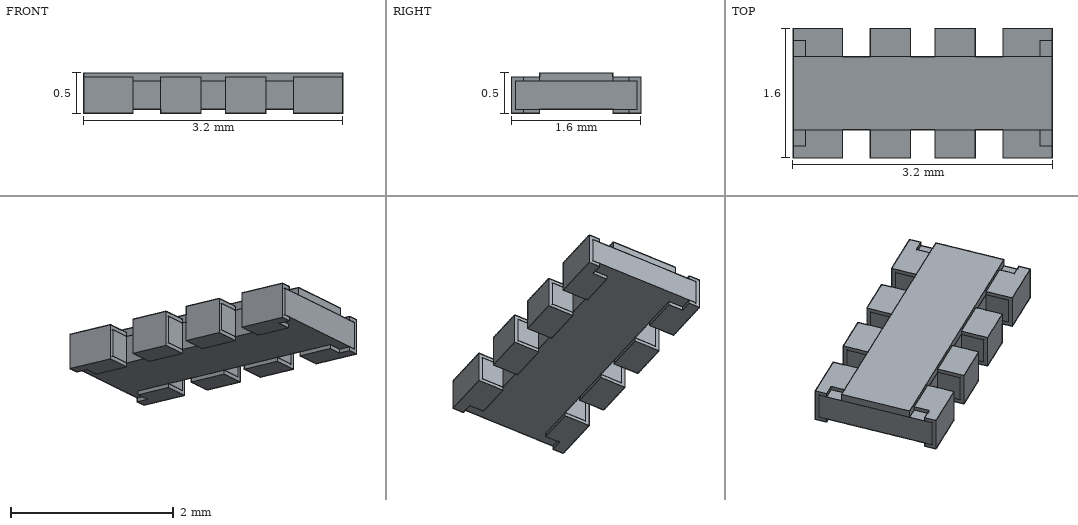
import cadquery as cq

LENGTH = 3.2
WIDTH = 1.6
HEIGHT = 0.5

METAL = 0.05
LEG = 0.35
INNER_LENGTH = 0.5
OUTER_LENGTH = 0.61
INNER_PITCH = 0.8
CORNER_CUT_LENGTH = 0.155
CORNER_LIP = 0.15

SUBSTRATE_HEIGHT = 0.35
TOOTH_REACH = WIDTH / 2 - METAL
SPINE_WIDTH = WIDTH - 2 * LEG
SUBSTRATE_TOP = METAL + SUBSTRATE_HEIGHT
TERMINAL_HEIGHT = SUBSTRATE_TOP + METAL
COVER_HEIGHT = HEIGHT - SUBSTRATE_TOP

OUTER_X = (LENGTH - OUTER_LENGTH) / 2
INNER_X = INNER_PITCH / 2
TERMINAL_ROW = [
    (-OUTER_X, OUTER_LENGTH),
    (-INNER_X, INNER_LENGTH),
    (INNER_X, INNER_LENGTH),
    (OUTER_X, OUTER_LENGTH),
]


def block(x_min, y_min, z_min, length, width, height):
    """Box placed by its lowest corner."""
    return cq.Workplane("XY").box(length, width, height, centered=False).translate((x_min, y_min, z_min))


def make_substrate():
    """Central spine with one tooth running across it at each pair of terminals."""
    substrate = block(-LENGTH / 2, -SPINE_WIDTH / 2, METAL, LENGTH, SPINE_WIDTH, SUBSTRATE_HEIGHT)
    for x, length in TERMINAL_ROW:
        tooth = block(x - length / 2, -TOOTH_REACH, METAL, length, 2 * TOOTH_REACH, SUBSTRATE_HEIGHT)
        substrate = substrate.union(tooth)
    return substrate.solids()


def make_cover():
    """Flat coating over the spine, between the terminal legs."""
    return block(-LENGTH / 2, -SPINE_WIDTH / 2, SUBSTRATE_TOP, LENGTH, SPINE_WIDTH, COVER_HEIGHT)


def make_terminal(x, length):
    """C-shaped cap on the -Y side; a corner cap has its legs cut back at the substrate end."""
    x_min = x - length / 2
    cap = block(x_min, -WIDTH / 2, 0, length, LEG, TERMINAL_HEIGHT)
    cap = cap.cut(block(x_min, -TOOTH_REACH, METAL, length, LEG - METAL, SUBSTRATE_HEIGHT))
    if abs(x) == OUTER_X:
        cut_x = -LENGTH / 2 if x < 0 else LENGTH / 2 - CORNER_CUT_LENGTH
        cut_y = -WIDTH / 2 + CORNER_LIP
        cap = cap.cut(block(cut_x, cut_y, 0, CORNER_CUT_LENGTH, LEG - CORNER_LIP, TERMINAL_HEIGHT))
    return cap.solids()


substrate = make_substrate()
cover = make_cover()

terminals = []
for x, length in TERMINAL_ROW:
    front_terminal = make_terminal(x, length)
    terminals.append(front_terminal.val())
    terminals.append(front_terminal.mirror("XZ").solids().val())

result = cq.Compound.makeCompound([substrate.val(), cover.val(), *terminals])